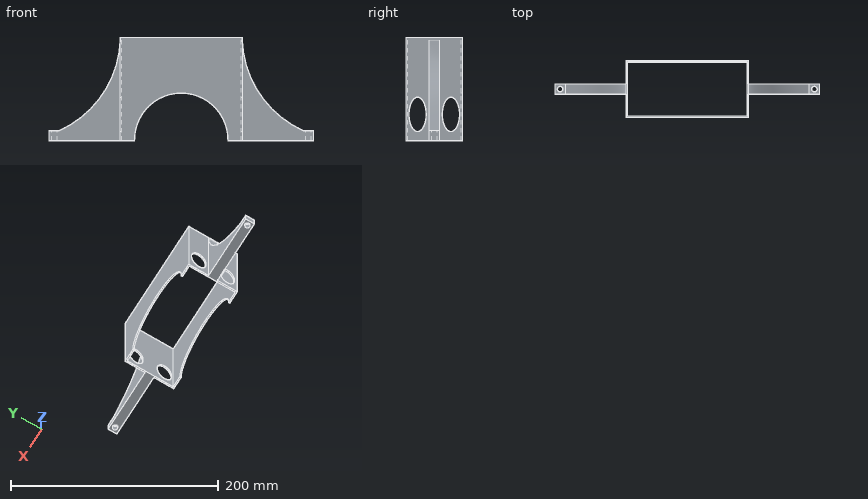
import cadquery as cq

overall_length = 255.5
box_length = 118.0
box_width = 55.0
height = 100.0
wall = 1.5

arch_radius = 45.0
arch_center_z = 1.0

bracket_thickness = 10.0
tab_length = 10.0
tab_height = 10.0
bracket_drop = 3.0
bracket_curve_radius = 100.0
screw_hole_diameter = 5.0

opening_width = 16.4
opening_height = 33.0
opening_spacing = 32.2
opening_center_z = 25.5


def make_box():
    outer = cq.Workplane("XY").rect(box_length, box_width).extrude(height)
    inner_length = box_length - 2 * wall
    inner_width = box_width - 2 * wall
    cavity = cq.Workplane("XY").rect(inner_length, inner_width).extrude(height)
    return outer.cut(cavity)


def make_arch_cutter():
    return (
        cq.Workplane("XZ")
        .center(0, arch_center_z)
        .circle(arch_radius)
        .extrude(box_width, both=True)
    )


def make_opening_cutter(y):
    return (
        cq.Workplane("YZ")
        .center(y, opening_center_z)
        .ellipse(opening_width / 2, opening_height / 2)
        .extrude(box_length, both=True)
    )


def make_right_bracket():
    root_x = box_length / 2
    tip_x = overall_length / 2
    bracket = (
        cq.Workplane("XZ")
        .moveTo(root_x, 0)
        .lineTo(tip_x, 0)
        .lineTo(tip_x, tab_height)
        .lineTo(tip_x - tab_length, tab_height)
        .radiusArc((root_x, height - bracket_drop), bracket_curve_radius)
        .close()
        .extrude(bracket_thickness / 2, both=True)
    )
    screw_hole = (
        cq.Workplane("XY")
        .center(tip_x - tab_length / 2, 0)
        .circle(screw_hole_diameter / 2)
        .extrude(tab_height)
    )
    return bracket.cut(screw_hole)


result = make_box().cut(make_arch_cutter())
for side in (-1, 1):
    result = result.cut(make_opening_cutter(side * opening_spacing / 2))

right_bracket = make_right_bracket()
result = result.union(right_bracket).union(right_bracket.mirror("YZ"))